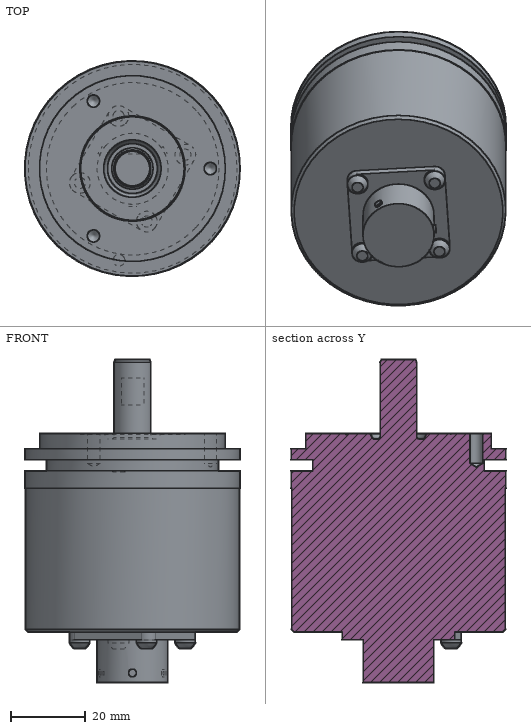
import cadquery as cq
import math


total_height = 87.0
flange_top = 67.1
plate_top = 63.0
plate_bottom = 59.9
groove_bottom = 57.0
sleeve_top = 52.4
housing_bottom = 13.6
connector_plate_bottom = 11.5

flange_radius = 58.0 / 2
sleeve_radius = 28.9
spigot_radius = 50.0 / 2
clamp_groove_radius = 23.2
sleeve_edge_chamfer = 0.8

shaft_radius = 10.0 / 2
shaft_tip_bevel = 0.35
shaft_tip_bevel_height = 0.8
flat_depth = 1.05
flat_top = 82.0
flat_bottom = 74.8

recess_mouth_radius = 7.7
recess_floor_radius = 6.7
recess_edge_break = 0.3
recess_draft = 0.5
recess_depth = 1.5
shoulder_radius = 5.6
shoulder_height = 0.4
bearing_seam_radius = 14.2
bearing_seam_width = 0.3

mount_hole_radius = 1.65
mount_circle_radius = 21.0
mount_hole_depth = 8.0
mount_hole_count = 3
drill_half_angle = 59

groove_recess_radius = 1.6
groove_recess_depth = 0.3
groove_recess_circle_radius = 24.9
groove_recess_angle = -98.5

connector_radius = 9.6
screw_circle_radius = 14.7
screw_head_radius = 2.8
screw_tip_radius = 1.5
screw_rim_height = 0.7
screw_dome_height = 1.65
screw_dome_bulge = 0.2
connector_plate_turn = 15
screw_count = 4
plate_corner_radius = 2.8
pin_radius = 1.05
pin_protrusion = 0.5
pin_height = 2.6
pin_count = 3
first_pin_angle = -90


def disc(radius, bottom, top):
    return cq.Workplane("XY").workplane(offset=bottom).circle(radius).extrude(top - bottom)


def revolve_profile(profile):
    """Turn an (r, z) outline about the Z axis."""
    return profile.close().revolve(360, (0, 0, 0), (0, 1, 0))


def around_axis(shape, radius, count, first_angle=0):
    """Copies of a shape evenly spaced on a circle about Z."""
    copies = cq.Workplane("XY")
    moved = shape.translate((radius, 0, 0))
    for index in range(count):
        angle = first_angle + index * 360 / count
        copies = copies.add(moved.rotate((0, 0, 0), (0, 0, 1), angle))
    return copies.combine()


def make_body():
    sleeve = disc(sleeve_radius, housing_bottom, sleeve_top)
    sleeve = sleeve.faces("<Z").edges().chamfer(sleeve_edge_chamfer)
    collar = disc(flange_radius, sleeve_top, groove_bottom)
    neck = disc(clamp_groove_radius, groove_bottom, plate_bottom)
    plate = disc(flange_radius, plate_bottom, plate_top)
    spigot = disc(spigot_radius, plate_top, flange_top)
    return sleeve.union(collar).union(neck).union(plate).union(spigot)


def make_shaft_recess():
    floor = flange_top - recess_depth
    break_radius = recess_mouth_radius - recess_edge_break
    profile = (
        cq.Workplane("XZ")
        .moveTo(0, floor)
        .lineTo(recess_floor_radius, floor)
        .lineTo(break_radius - recess_draft, floor + recess_edge_break)
        .lineTo(break_radius, flange_top - recess_edge_break)
        .lineTo(recess_mouth_radius, flange_top)
        .lineTo(0, flange_top)
    )
    return revolve_profile(profile)


def make_bearing_seam():
    inner_radius = bearing_seam_radius - bearing_seam_width
    profile = (
        cq.Workplane("XZ")
        .moveTo(inner_radius, flange_top)
        .lineTo(bearing_seam_radius, flange_top)
        .lineTo((inner_radius + bearing_seam_radius) / 2, flange_top - bearing_seam_width)
    )
    return revolve_profile(profile)


def make_mount_holes():
    hole_bottom = flange_top - mount_hole_depth
    tip_length = mount_hole_radius / math.tan(math.radians(drill_half_angle))
    profile = (
        cq.Workplane("XZ")
        .moveTo(0, flange_top)
        .lineTo(mount_hole_radius, flange_top)
        .lineTo(mount_hole_radius, hole_bottom)
        .lineTo(0, hole_bottom - tip_length)
    )
    return around_axis(revolve_profile(profile), mount_circle_radius, mount_hole_count)


def make_groove_recess():
    recess = disc(groove_recess_radius, groove_bottom - groove_recess_depth, groove_bottom)
    return around_axis(recess, groove_recess_circle_radius, 1, groove_recess_angle)


def make_shaft():
    floor = flange_top - recess_depth
    profile = (
        cq.Workplane("XZ")
        .moveTo(0, floor)
        .lineTo(shoulder_radius, floor)
        .lineTo(shaft_radius, floor + shoulder_height)
        .lineTo(shaft_radius, total_height - shaft_tip_bevel_height)
        .lineTo(shaft_radius - shaft_tip_bevel, total_height)
        .lineTo(0, total_height)
    )
    flat_cut = (
        cq.Workplane("XY")
        .workplane(offset=flat_bottom)
        .center(0, shaft_radius - flat_depth / 2)
        .rect(2 * shaft_radius, flat_depth)
        .extrude(flat_top - flat_bottom)
    )
    return revolve_profile(profile).cut(flat_cut)


def make_connector_plate():
    """Rounded square whose corners are concentric with the screw heads."""
    corner_angle = 45
    side = screw_circle_radius * math.sqrt(2) + 2 * plate_corner_radius
    return (
        cq.Workplane("XY")
        .workplane(offset=connector_plate_bottom)
        .rect(side, side)
        .extrude(housing_bottom - connector_plate_bottom)
        .edges("|Z")
        .fillet(plate_corner_radius)
        .rotate((0, 0, 0), (0, 0, 1), connector_plate_turn + corner_angle)
    )


def make_screw_heads():
    rim_bottom = connector_plate_bottom - screw_rim_height
    dome_middle_radius = (screw_head_radius + screw_tip_radius) / 2 + screw_dome_bulge
    profile = (
        cq.Workplane("XZ")
        .moveTo(0, connector_plate_bottom)
        .lineTo(screw_head_radius, connector_plate_bottom)
        .lineTo(screw_head_radius, rim_bottom)
        .threePointArc(
            (dome_middle_radius, rim_bottom - screw_dome_height / 2),
            (screw_tip_radius, rim_bottom - screw_dome_height),
        )
        .lineTo(0, rim_bottom - screw_dome_height)
    )
    return around_axis(revolve_profile(profile), screw_circle_radius, screw_count, connector_plate_turn)


def make_bayonet_pins():
    pin = (
        cq.Workplane("YZ")
        .center(0, pin_height)
        .circle(pin_radius)
        .extrude(connector_radius + pin_protrusion)
    )
    return around_axis(pin, 0, pin_count, first_pin_angle)


body = (
    make_body()
    .cut(make_shaft_recess())
    .cut(make_bearing_seam())
    .cut(make_mount_holes())
    .cut(make_groove_recess())
)
connector = disc(connector_radius, 0, connector_plate_bottom).union(make_bayonet_pins())

result = (
    body.union(make_shaft())
    .union(make_connector_plate())
    .union(make_screw_heads())
    .union(connector)
)